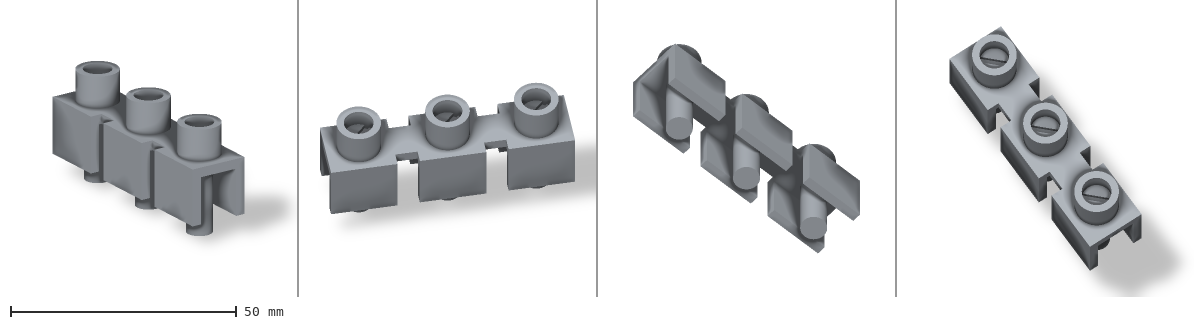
import cadquery as cq

block_count = 3
block_length = 15.0
block_pitch = 20.0
block_width = 13.9
block_height = 13.5
side_wall = 2.2
top_plate = 2.3

web_width = 8.1
web_length = block_pitch * (block_count - 1)

collar_diameter = 9.9
collar_height = 7.5
bore_diameter = 6.6
bore_depth = 4.0

slot_width = 1.25
slot_depth = 1.0
slot_angle = 45.0

shank_diameter = 6.0
shank_projection = 5.0

plate_underside = block_height - top_plate
collar_top = block_height + collar_height
bore_floor = collar_top - bore_depth
slot_floor = bore_floor - slot_depth

block_centers = [(i - (block_count - 1) / 2) * block_pitch for i in range(block_count)]


def cylinder(diameter, bottom, top):
    """Vertical cylinder on the Z axis between two heights."""
    return cq.Workplane("XY").workplane(offset=bottom).circle(diameter / 2).extrude(top - bottom)


def box(length, width, bottom, top):
    """Box centred on the Z axis between two heights."""
    return cq.Workplane("XY").workplane(offset=bottom).rect(length, width).extrude(top - bottom)


def saddle():
    """Inverted U block, open at both X ends."""
    channel = box(block_length, block_width - 2 * side_wall, 0, plate_underside)
    return box(block_length, block_width, 0, block_height).cut(channel)


def driver_slot():
    """Diagonal slot: a bar longer than the bore, trimmed to the bore wall."""
    bar = box(bore_diameter + slot_width, slot_width, slot_floor, bore_floor)
    bar = bar.rotate((0, 0, 0), (0, 0, 1), slot_angle)
    return bar.intersect(cylinder(bore_diameter, slot_floor, bore_floor))


def terminal():
    """One block with its collar, bore, slot and screw shank."""
    body = saddle()
    body = body.union(cylinder(collar_diameter, block_height, collar_top))
    body = body.union(cylinder(shank_diameter, -shank_projection, block_height))
    body = body.cut(cylinder(bore_diameter, bore_floor, collar_top))
    return body.cut(driver_slot())


result = box(web_length, web_width, plate_underside, block_height)
for center in block_centers:
    result = result.union(terminal().translate((center, 0, 0)))